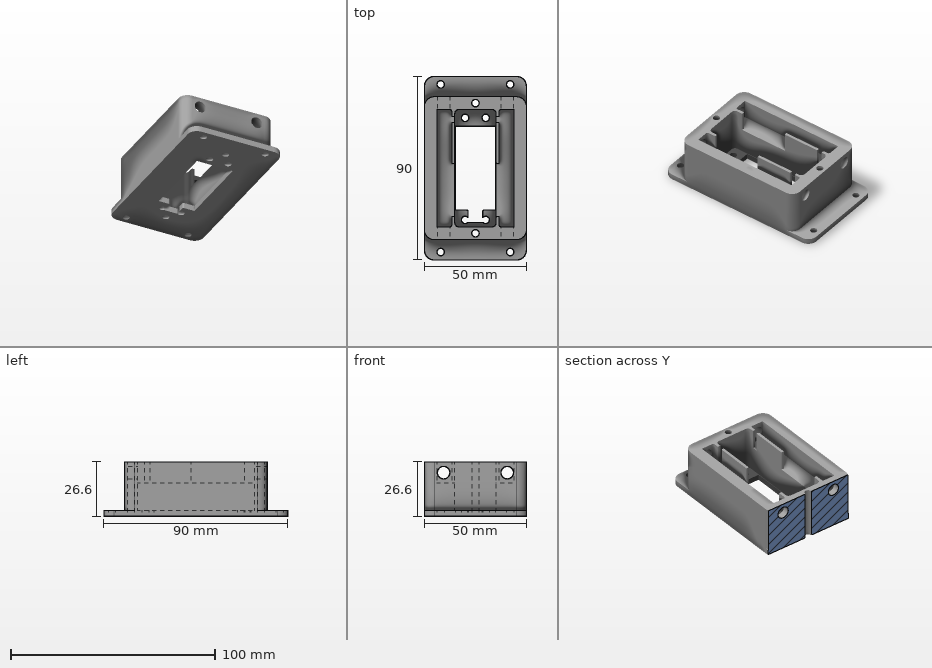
import cadquery as cq

width = 50.0
flange_length = 90.0
box_length = 70.0
height = 26.6
flange_thickness = 3.0
corner_radius = 4.95

cavity_width = 37.5
cavity_length = 57.4
shelf_z = 16.4
compartment_width = 20.25
compartment_radius = 2.0
floor_z = flange_thickness

partition_thickness = 1.4
partition_root_radius = 1.0
partition_end_radius = 0.5
back_stub_end = 25.2
panel_back = 22.4
panel_front = 2.3
front_stub_end = -23.7

opening_width = 19.7
opening_length = 40.9
neck_width = 7.1
neck_edge_radius = 0.8
screw_channel_width = 2.4

screw_diameter = 3.5
cable_diameter = 6.0
flange_hole_x = 17.0
flange_hole_y = 41.0
lid_hole_y = 31.9
floor_hole_x = 5.0
back_floor_hole_y = 24.7
front_floor_hole_y = -25.3
cable_hole_x = 15.6
cable_hole_z = 21.4

SIDES = (-1, 1)


def block(x_size, y_size, z_low, z_high, x=0, y=0):
    """Upright block centred on (x, y) between two heights."""
    return (
        cq.Workplane("XY", origin=(x, y, z_low))
        .rect(x_size, y_size)
        .extrude(z_high - z_low)
    )


def vertical_holes(points):
    """Screw-hole cutters through the whole height."""
    return (
        cq.Workplane("XY")
        .pushPoints(points)
        .circle(screw_diameter / 2)
        .extrude(height)
    )


def partition(y_front, y_back):
    """Partition pieces on both sides of the compartment, with square edges."""
    x = (compartment_width + partition_thickness) / 2
    y = (y_front + y_back) / 2
    left = block(partition_thickness, y_back - y_front, shelf_z, height, -x, y)
    right = block(partition_thickness, y_back - y_front, shelf_z, height, x, y)
    return left.union(right)


def round_edges(solid, x, y, radius):
    """Round the vertical edges of a solid at (+x, y) and (-x, y)."""
    reach = radius / 10
    for side in SIDES:
        solid = solid.edges(
            cq.selectors.BoxSelector(
                (side * x - reach, y - reach, shelf_z),
                (side * x + reach, y + reach, height),
            )
        ).edges("|Z").fillet(radius)
    return solid


body = block(width, flange_length, 0, flange_thickness).edges("|Z").fillet(corner_radius)
body = body.union(block(width, box_length, 0, height).edges("|Z").fillet(corner_radius))

inner_x = compartment_width / 2
outer_x = inner_x + partition_thickness
cavity_end = cavity_length / 2
partitions = partition(back_stub_end, cavity_end)
partitions = partitions.union(partition(panel_front, panel_back))
partitions = partitions.union(partition(-cavity_end, front_stub_end))
shelf_pocket = block(cavity_width, cavity_length, shelf_z, height).cut(partitions)
for corner_y in (-cavity_end, cavity_end):
    shelf_pocket = round_edges(shelf_pocket, outer_x, corner_y, partition_root_radius)
for corner_y in (back_stub_end, panel_back):
    shelf_pocket = round_edges(shelf_pocket, outer_x, corner_y, partition_end_radius)
for corner_y in (panel_front, front_stub_end):
    shelf_pocket = round_edges(shelf_pocket, inner_x, corner_y, partition_end_radius)

compartment_strip = block(compartment_width, cavity_length, shelf_z, height)
shelf_pocket = shelf_pocket.cut(compartment_strip)
compartment = block(compartment_width, cavity_length, floor_z, height).edges("|Z").fillet(compartment_radius)
body = body.cut(shelf_pocket).cut(compartment)

opening_front = -opening_length / 2
neck_length = opening_front - front_floor_hole_y
opening = block(opening_width, opening_length, 0, floor_z)
neck = block(neck_width, neck_length, 0, floor_z, y=opening_front - neck_length / 2)
opening = opening.union(neck)
opening = opening.edges(
    cq.selectors.BoxSelector(
        (-neck_width, opening_front - neck_edge_radius, 0),
        (neck_width, opening_front + neck_edge_radius, floor_z),
    )
).edges("|Z").fillet(neck_edge_radius)
channel = block(2 * floor_hole_x, screw_channel_width, 0, floor_z, y=front_floor_hole_y)
body = body.cut(opening).cut(channel)

hole_points = [(sx * flange_hole_x, sy * flange_hole_y) for sx in SIDES for sy in SIDES]
hole_points += [(0, side * lid_hole_y) for side in SIDES]
hole_points += [(side * floor_hole_x, back_floor_hole_y) for side in SIDES]
hole_points += [(side * floor_hole_x, front_floor_hole_y) for side in SIDES]
body = body.cut(vertical_holes(hole_points))

cable_holes = (
    cq.Workplane("XZ", origin=(0, box_length / 2, 0))
    .pushPoints([(side * cable_hole_x, cable_hole_z) for side in SIDES])
    .circle(cable_diameter / 2)
    .extrude(box_length)
)
result = body.cut(cable_holes)